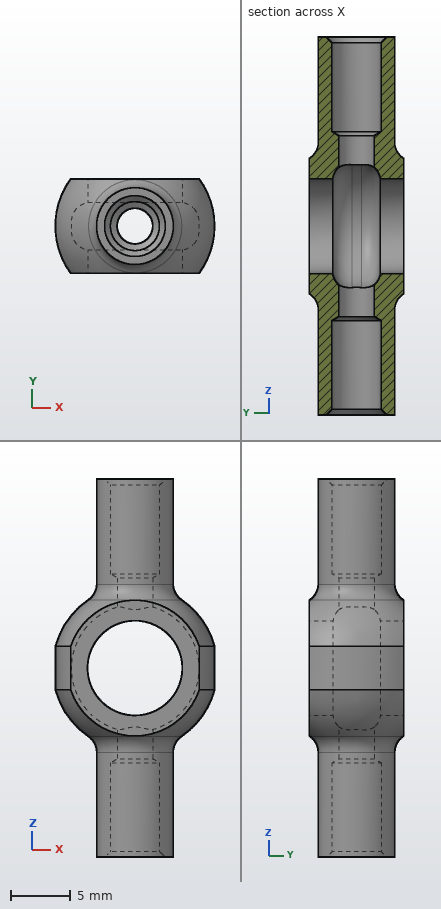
import cadquery as cq
import math

total_length = 32.0
body_thickness = 8.0
body_width = 13.5
sphere_radius = 7.0
neck_diameter = 6.5
neck_fillet_radius = 1.6
cross_bore_diameter = 8.0
groove_diameter = 10.8
groove_mouth_width = 4.0
groove_floor_width = 0.8
socket_diameter = 4.15
socket_depth = 8.0
socket_chamfer = 0.5
socket_tip_angle = 118.0
passage_diameter = 3.0

half_length = total_length / 2
neck_radius = neck_diameter / 2
band_radius = body_width / 2
socket_radius = socket_diameter / 2
passage_radius = passage_diameter / 2
band_half_height = math.sqrt(sphere_radius**2 - band_radius**2)

fillet_center_r = neck_radius + neck_fillet_radius
fillet_center_z = math.sqrt((sphere_radius + neck_fillet_radius) ** 2 - fillet_center_r**2)
fillet_angle = math.atan2(fillet_center_z, fillet_center_r)


def on_sphere(angle):
    """Profile point (r, z) on the sphere at an elevation angle."""
    return sphere_radius * math.cos(angle), sphere_radius * math.sin(angle)


def on_fillet(angle):
    """Profile point (r, z) on the fillet, with the angle measured from the inward radial direction."""
    return (
        fillet_center_r - neck_fillet_radius * math.cos(angle),
        fillet_center_z - neck_fillet_radius * math.sin(angle),
    )


def revolve_about_local_y(profile):
    """Close the profile and spin it about the vertical axis of its own workplane."""
    return profile.close().revolve(360, (0, 0, 0), (0, 1, 0))


def make_upper_half():
    """Waist band, ball, fillet and neck above the XY plane."""
    band_angle = math.asin(band_half_height / sphere_radius)
    profile = (
        cq.Workplane("XZ")
        .lineTo(band_radius, 0)
        .lineTo(band_radius, band_half_height)
        .threePointArc(on_sphere((band_angle + fillet_angle) / 2), on_sphere(fillet_angle))
        .threePointArc(on_fillet(fillet_angle / 2), on_fillet(0))
        .lineTo(neck_radius, half_length)
        .lineTo(0, half_length)
    )
    return revolve_about_local_y(profile)


def make_upper_passage():
    """Passage, cone-bottomed socket and mouth chamfer above the XY plane."""
    socket_floor = half_length - socket_depth
    half_tip_angle = math.radians(socket_tip_angle / 2)
    cone_height = (socket_radius - passage_radius) / math.tan(half_tip_angle)
    profile = (
        cq.Workplane("XZ")
        .lineTo(passage_radius, 0)
        .lineTo(passage_radius, socket_floor - cone_height)
        .lineTo(socket_radius, socket_floor)
        .lineTo(socket_radius, half_length - socket_chamfer)
        .lineTo(socket_radius + socket_chamfer, half_length)
        .lineTo(0, half_length)
    )
    return revolve_about_local_y(profile)


def both_ends(upper):
    return upper.union(upper.mirror("XY"))


def make_cross_bore():
    """Bore along Y, widened in the middle by a groove with arc-shaped sides."""
    bore_radius = cross_bore_diameter / 2
    groove_radius = groove_diameter / 2
    half_thickness = body_thickness / 2
    half_mouth = groove_mouth_width / 2
    half_floor = groove_floor_width / 2
    depth = groove_radius - bore_radius
    side_width = half_mouth - half_floor
    side_arc_radius = (depth**2 + side_width**2) / (2 * depth)
    half_sweep = math.asin(side_width / side_arc_radius) / 2
    mid_arc_radius = groove_radius - side_arc_radius * (1 - math.cos(half_sweep))
    mid_arc_y = half_floor + side_arc_radius * math.sin(half_sweep)
    profile = (
        cq.Workplane("XY")
        .moveTo(0, -half_thickness)
        .lineTo(bore_radius, -half_thickness)
        .lineTo(bore_radius, -half_mouth)
        .threePointArc((mid_arc_radius, -mid_arc_y), (groove_radius, -half_floor))
        .lineTo(groove_radius, half_floor)
        .threePointArc((mid_arc_radius, mid_arc_y), (bore_radius, half_mouth))
        .lineTo(bore_radius, half_thickness)
        .lineTo(0, half_thickness)
    )
    return revolve_about_local_y(profile)


trimming_slab = cq.Workplane("XY").box(body_width, body_thickness, total_length)

result = (
    both_ends(make_upper_half())
    .intersect(trimming_slab)
    .cut(make_cross_bore())
    .cut(both_ends(make_upper_passage()))
)